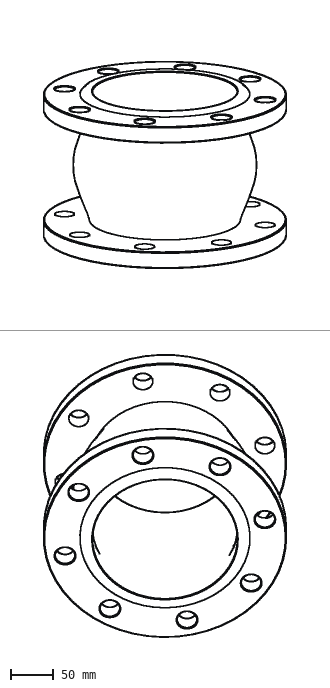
import cadquery as cq

height = 180.0
flange_radius = 142.5
flange_thickness = 20.0
rim_chamfer = 1.0

lip_height = 3.7
lip_base_radius = 99.8
lip_top_radius = 96.5
lip_edge_fillet = 1.0
bore_radius = 170.0 / 2
bore_chamfer = 0.9

neck_radius = 88.5
bulge_radius = 107.7
inner_bulge_radius = 99.8
end_slope = 0.22

bolt_count = 8
bolt_hole_diameter = 23.0
bolt_circle_radius = 120.0
bolt_chamfer = 1.0

flange_outer_z = height / 2 - lip_height
flange_inner_z = flange_outer_z - flange_thickness


def upper_half_body(end_radius, middle_radius):
    """Solid of revolution from the middle plane, narrowing smoothly up to the flange."""
    return (
        cq.Workplane("XZ")
        .lineTo(middle_radius, 0)
        .spline(
            [(end_radius, flange_inner_z)],
            tangents=[(0, 1), (-end_slope, 1)],
            includeCurrent=True,
        )
        .lineTo(0, flange_inner_z)
        .close()
        .revolve(360, (0, 0, 0), (0, 1, 0))
    )


def top_flange():
    """Flange with its sealing lip, bolt holes and chamfered edges."""
    flange = (
        cq.Workplane("XY")
        .workplane(offset=flange_inner_z)
        .circle(flange_radius)
        .extrude(flange_thickness)
        .edges()
        .chamfer(rim_chamfer)
    )
    lip = (
        cq.Workplane("XZ")
        .moveTo(0, flange_outer_z)
        .lineTo(lip_base_radius, flange_outer_z)
        .lineTo(lip_top_radius, height / 2)
        .lineTo(0, height / 2)
        .close()
        .revolve(360, (0, 0, 0), (0, 1, 0))
        .faces(">Z")
        .edges()
        .fillet(lip_edge_fillet)
    )
    bolted = (
        flange.faces(">Z")
        .workplane()
        .polarArray(bolt_circle_radius, 0, 360, bolt_count)
        .cskHole(bolt_hole_diameter, bolt_hole_diameter + 2 * bolt_chamfer, 90)
    )
    bore = (
        cq.Workplane("XY")
        .workplane(offset=flange_inner_z)
        .circle(bore_radius)
        .extrude(height / 2 - flange_inner_z)
    )
    bored = bolted.union(lip).cut(bore)
    bore_edge = cq.selectors.RadiusNthSelector(0)
    return bored.faces(">Z").edges(bore_edge).chamfer(bore_chamfer)


flange = top_flange()
outer_body = upper_half_body(neck_radius, bulge_radius)
inner_body = upper_half_body(bore_radius, inner_bulge_radius)
upper_half = outer_body.cut(inner_body).union(flange)

result = upper_half.union(upper_half.mirror("XY"))